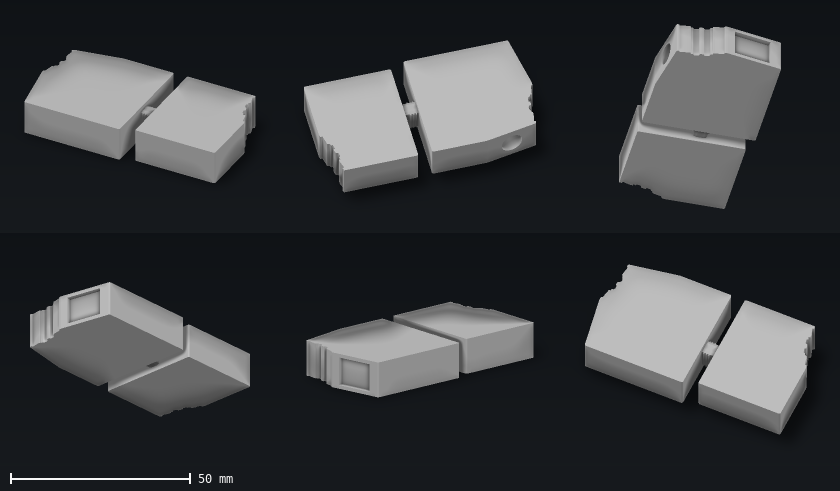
import cadquery as cq
import math


total_length = 61.96
total_width = 32.8
thickness = 10.1
corner_radius = 0.5
face_tilt = math.radians(10)

left_inner_x = 32.85
left_top_y = -0.2
left_bottom_y = -total_width
tilted_side_top_y = -16.9
shoulder_x = 2.25
shoulder_y = -2.8

right_inner_x = 36.85
right_bottom_y = -31.1

bar_y = -17.85
bar_width = 3.85
bar_height = 6.95
bar_bevel_y = 0.85
bar_bevel_z = 0.36
bar_embed = 0.5
rib_count = 4
rib_pitch = 0.755
rib_crest_width = 0.25
rib_height = 0.4
last_rib_offset = 2.11
last_rib_slope = 0.25

recess_upper_y = -18.95
recess_lower_y = -29.65
recess_height = 8.0
recess_depth = 1.5

opening_diameter = 6.2
opening_depth = 6.0
opening_y = -1.5


def rounded_edges(body, corners):
    """Round the vertical edges of a housing nearest to the given corners."""
    for x, y in corners:
        nearest = cq.selectors.NearestToPointSelector((x, y, 0))
        body = body.edges("|Z").edges(nearest).fillet(corner_radius)
    return body


def make_left_housing():
    """Housing with a toothed grip on its left side and tilted top and lower left faces."""
    tilted_side_run = (tilted_side_top_y - left_bottom_y) * math.tan(face_tilt)
    tilted_top_run = (left_top_y - shoulder_y) / math.tan(face_tilt)
    bottom_corner = (tilted_side_run, left_bottom_y)
    shoulder = (shoulder_x, shoulder_y)
    inner_corners = [(left_inner_x, left_bottom_y), (left_inner_x, left_top_y)]
    body = (
        cq.Workplane("XY", origin=(0, 0, -thickness / 2))
        .moveTo(*bottom_corner)
        .lineTo(0, tilted_side_top_y)
        .lineTo(0, -16.4)
        .threePointArc((0.15, -16.05), (0.5, -15.9))
        .lineTo(0.98, -13.3)
        .threePointArc((1.12, -12.9), (1.5, -12.95))
        .lineTo(1.67, -12.3)
        .lineTo(2.2, -12.15)
        .threePointArc((2.49, -11.3), (2.45, -10.65))
        .lineTo(2.12, -10.6)
        .threePointArc((2.07, -9.9), (2.25, -9.3))
        .lineTo(2.77, -9.2)
        .threePointArc((3.03, -8.5), (3.0, -7.9))
        .lineTo(2.65, -7.45)
        .lineTo(2.6, -6.8)
        .lineTo(2.25, -6.8)
        .lineTo(2.25, -6.4)
        .threePointArc((2.4, -5.1), (2.67, -3.7))
        .lineTo(shoulder_x, -3.6)
        .lineTo(*shoulder)
        .lineTo(shoulder_x + tilted_top_run, left_top_y)
        .lineTo(*inner_corners[1])
        .lineTo(*inner_corners[0])
        .close()
        .extrude(thickness)
    )
    return rounded_edges(body, [bottom_corner, shoulder] + inner_corners)


def make_right_housing():
    """Housing with a toothed grip on the upper part of its right side."""
    bottom_corners = [(right_inner_x, right_bottom_y), (total_length, right_bottom_y)]
    top_corner = (right_inner_x, 0)
    body = (
        cq.Workplane("XY", origin=(0, 0, -thickness / 2))
        .moveTo(*top_corner)
        .lineTo(58.3, 0)
        .lineTo(58.3, -0.5)
        .lineTo(58.5, -0.65)
        .lineTo(58.2, -0.97)
        .lineTo(57.9, -0.95)
        .lineTo(58.65, -3.3)
        .lineTo(58.65, -3.95)
        .lineTo(58.2, -4.05)
        .lineTo(58.47, -4.85)
        .lineTo(58.1, -4.95)
        .lineTo(58.05, -5.5)
        .lineTo(58.3, -6.3)
        .lineTo(58.7, -6.4)
        .threePointArc((58.9, -6.5), (59.0, -6.7))
        .lineTo(59.2, -7.4)
        .lineTo(59.2, -7.9)
        .lineTo(58.77, -8.0)
        .lineTo(59.1, -9.35)
        .lineTo(59.55, -9.4)
        .lineTo(59.8, -10.0)
        .lineTo(60.3, -10.1)
        .threePointArc((60.47, -10.2), (60.55, -10.4))
        .lineTo(61.12, -12.95)
        .lineTo(61.3, -13.05)
        .threePointArc((61.57, -12.9), (61.8, -13.2))
        .lineTo(total_length, -13.85)
        .lineTo(*bottom_corners[1])
        .lineTo(*bottom_corners[0])
        .close()
        .extrude(thickness)
    )
    return rounded_edges(body, bottom_corners + [top_corner])


def make_rib_row(side):
    """Row of ribs with hollow grooves between them on one side (+1 or -1) of the latch bar."""
    base_y = bar_y + side * bar_width / 2
    crest_y = base_y + side * rib_height
    half_crest = rib_crest_width / 2
    last_rib_x = left_inner_x + last_rib_offset
    first_rib_x = last_rib_x - (rib_count - 1) * rib_pitch
    row = (
        cq.Workplane("XY", origin=(0, 0, -bar_height / 2))
        .moveTo(first_rib_x - half_crest, bar_y)
        .lineTo(first_rib_x - half_crest, crest_y)
        .lineTo(first_rib_x + half_crest, crest_y)
    )
    for index in range(1, rib_count):
        rib_x = first_rib_x + index * rib_pitch
        groove_bottom = (rib_x - rib_pitch / 2, base_y)
        row = row.threePointArc(groove_bottom, (rib_x - half_crest, crest_y))
        row = row.lineTo(rib_x + half_crest, crest_y)
    row_end_x = last_rib_x + half_crest + last_rib_slope
    return row.lineTo(row_end_x, base_y).lineTo(row_end_x, bar_y).close().extrude(bar_height)


def make_latch_bar():
    """Bar with two rib rows, its bevels running on across the ends of the ribs."""
    start_x = left_inner_x - bar_embed
    length = right_inner_x - left_inner_x + 2 * bar_embed
    bar = cq.Workplane("YZ", origin=(start_x, bar_y, 0)).rect(bar_width, bar_height).extrude(length)
    bar = bar.union(make_rib_row(1)).union(make_rib_row(-1))

    top_z = bar_height / 2
    flat_y = bar_width / 2 - bar_bevel_y
    outer_y = bar_width / 2 + rib_height
    outer_z = top_z - bar_bevel_z * (outer_y - flat_y) / bar_bevel_y
    bevelled_section = [
        (outer_y, outer_z),
        (flat_y, top_z),
        (-flat_y, top_z),
        (-outer_y, outer_z),
        (-outer_y, -outer_z),
        (-flat_y, -top_z),
        (flat_y, -top_z),
        (outer_y, -outer_z),
    ]
    bevel_plane = cq.Workplane("YZ", origin=(start_x, bar_y, 0))
    envelope = bevel_plane.polyline(bevelled_section).close().extrude(length)
    return bar.intersect(envelope)


def make_label_recess():
    """Pocket cutter square to the tilted left side."""
    middle_y = (recess_upper_y + recess_lower_y) / 2
    middle_x = (tilted_side_top_y - middle_y) * math.tan(face_tilt)
    recess_length = (recess_upper_y - recess_lower_y) / math.cos(face_tilt)
    inward = cq.Vector(math.cos(face_tilt), math.sin(face_tilt), 0)
    plane = cq.Plane(origin=(middle_x, middle_y, 0), xDir=(0, 0, 1), normal=inward.toTuple())
    return cq.Workplane(plane).rect(recess_height, recess_length).extrude(recess_depth)


def make_round_opening():
    """Blind hole cutter square to the tilted top face."""
    centre_x = shoulder_x + (opening_y - shoulder_y) / math.tan(face_tilt)
    inward = cq.Vector(math.sin(face_tilt), -math.cos(face_tilt), 0)
    along = cq.Vector(math.cos(face_tilt), math.sin(face_tilt), 0)
    plane = cq.Plane(origin=(centre_x, opening_y, 0), xDir=along.toTuple(), normal=inward.toTuple())
    return cq.Workplane(plane).circle(opening_diameter / 2).extrude(opening_depth)


left_housing = make_left_housing().cut(make_label_recess()).cut(make_round_opening())
result = left_housing.union(make_latch_bar()).union(make_right_housing())